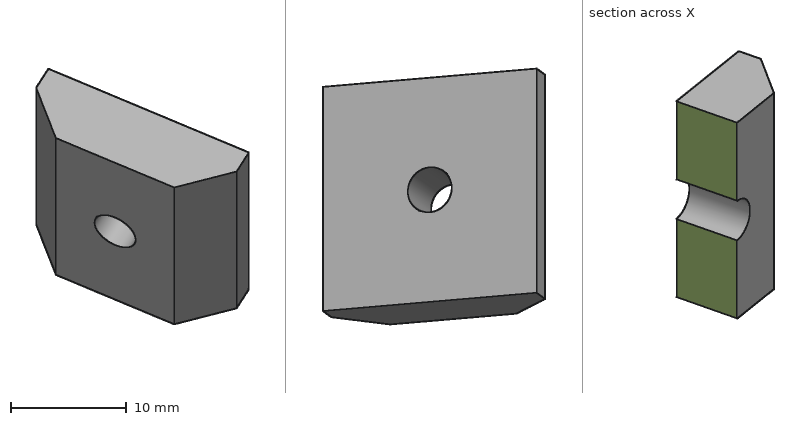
import cadquery as cq

width = 19.5
depth = 6.3
height = 20.0

bevel = 4.0

hole_diameter = 4.0

block = cq.Workplane("XY").box(width, depth, height)
beveled_block = block.faces("<Y").edges("|Z").chamfer(bevel)
result = beveled_block.faces("<Y").workplane(centerOption="CenterOfBoundBox").hole(hole_diameter)